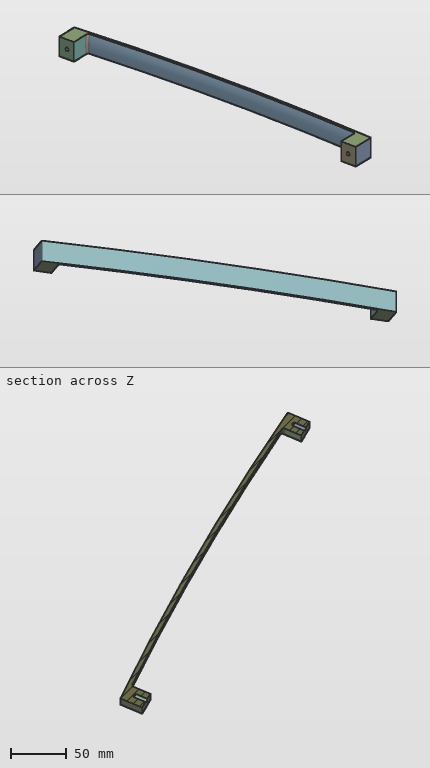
import cadquery as cq
import math

length = 337.6
depth = 27.93
height = 20.2
hole_spacing = 320.0
post_width = 16.8
post_depth = 22.2
bar_edge_thickness = 3.1
bar_crown = 1.5
root_fillet = 2.0
corner_fillet = 0.5
hole_diameter = 3.3
hole_depth = 12.0
drill_point_angle = 118.0

half_length = length / 2
rise = depth - post_depth
bow_radius = (half_length ** 2 + rise ** 2) / (2 * rise)
bow_center_y = depth - bow_radius
bow_half_angle = math.degrees(math.asin(half_length / bow_radius))
post_inner_x = half_length - post_width


def make_opening():
    """Space between the posts, bounded by the crowned inner face swept about the bow axis."""
    half_height = height / 2
    edge_y = depth - bar_edge_thickness
    swept_space = (
        cq.Workplane("YZ")
        .moveTo(-depth, -half_height)
        .lineTo(edge_y, -half_height)
        .threePointArc((edge_y - bar_crown, 0), (edge_y, half_height))
        .lineTo(-depth, half_height)
        .close()
        .revolve(2 * bow_half_angle, (bow_center_y, 0), (bow_center_y, 1))
        .rotate((0, bow_center_y, 0), (0, bow_center_y, 1), -bow_half_angle)
    )
    between_posts = cq.Workplane("XY").box(2 * post_inner_x, 2 * depth, height)
    return swept_space.intersect(between_posts)


def make_envelope():
    """Outline of the handle in plan, filled solid from the wall to the bowed outer face."""
    return (
        cq.Workplane("XY")
        .moveTo(-half_length, 0)
        .lineTo(half_length, 0)
        .lineTo(half_length, post_depth)
        .threePointArc((0, depth), (-half_length, post_depth))
        .close()
        .extrude(height / 2, both=True)
    )


def round_bar_roots(body):
    """Fillet the inside corners where the crowned face of the bar meets each post."""
    reach = 0.1
    for side in (-1, 1):
        post_face_x = side * post_inner_x
        corner = cq.selectors.BoxSelector(
            (post_face_x - reach, post_depth / 2, -reach),
            (post_face_x + reach, post_depth, reach),
        )
        body = body.edges(corner).fillet(root_fillet)
    return body


def round_outer_corners(body):
    """Fillet the upright edges where the post ends meet the bowed outer face."""
    return body.edges("|Z").edges("<X or >X").edges(">Y").fillet(corner_fillet)


def drill_mounting_holes(body):
    """Blind screw holes with a conical drill point, running outward from the wall face of each post."""
    hole_radius = hole_diameter / 2
    point_depth = hole_radius / math.tan(math.radians(drill_point_angle / 2))
    for side in (-1, 1):
        hole_x = side * hole_spacing / 2
        drill = (
            cq.Workplane("XY")
            .moveTo(hole_x, 0)
            .lineTo(hole_x + hole_radius, 0)
            .lineTo(hole_x + hole_radius, hole_depth)
            .lineTo(hole_x, hole_depth + point_depth)
            .close()
            .revolve(360, (hole_x, 0), (hole_x, 1))
        )
        body = body.cut(drill)
    return body


handle = make_envelope().cut(make_opening())
handle = round_bar_roots(handle)
handle = round_outer_corners(handle)
result = drill_mounting_holes(handle)